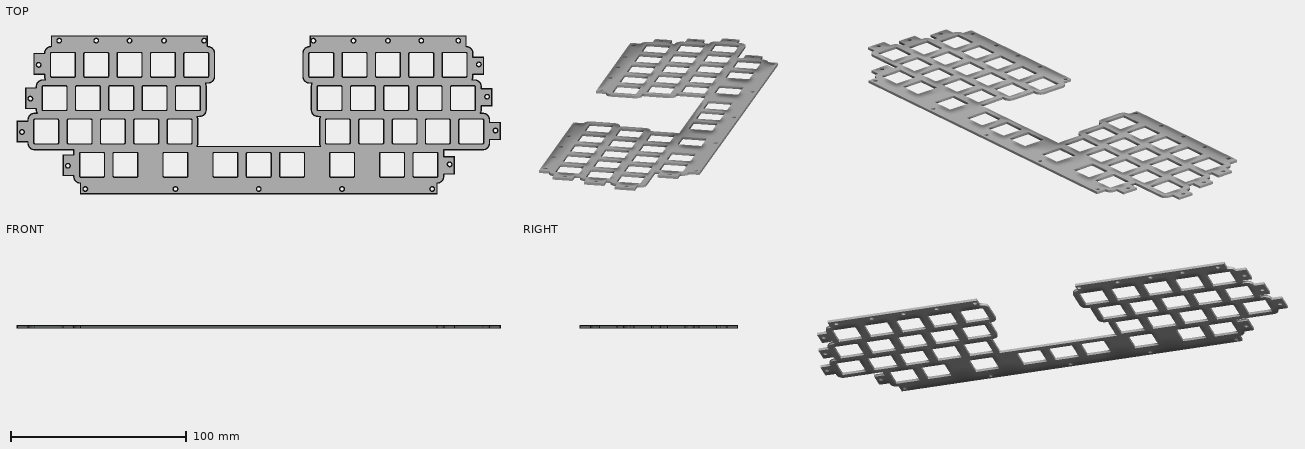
import cadquery as cq

length = 275.8
thickness = 1.5

pitch = 19.0
web_half = 2.5
cutout = pitch - 2 * web_half
cutout_corner = 0.5
finger_columns = 5
stagger = pitch / 4
first_column = 1.875 * pitch
row_y = [1.5 * pitch, 0.5 * pitch, -0.5 * pitch, -1.5 * pitch]
inner_x = [first_column + row * stagger for row in range(3)]
thumb_x = [0, pitch, 2.5 * pitch, 4 * pitch, 5 * pitch]

band_half = 10.5
band_radius = 3.9
band_span = (finger_columns - 1) * pitch
row_end = [x + band_span + band_half for x in inner_x] + [thumb_x[-1] + band_half]

edge_margin = 16.5
half_depth = row_y[0] + edge_margin
strip_outer_inset = band_radius
strip_inner_inset = 4.0

tab_length = length / 2 - max(row_end)
left_tab_height = 11.9
right_tab_height = 10.0
left_tabs = [(0.5, 0.0), (0.0, -0.3), (0.0, -0.3), (-0.3, -0.5)]
right_tabs = [(-0.5, 0.3), (0.5, 0.8), (0.3, 0.5), (-0.3, 0.3)]
tab_hole_inset = 2.8

hole_diameter = 2.5
strip_hole_inset = 2.8
top_hole_x = [31.2, 54.0, inner_x[0] + 2 * pitch, inner_x[0] + 3 * pitch, 114.0]
bottom_hole_x = [0, 2.5 * pitch, 99.0]


def box(x_min, x_max, y_min, y_max):
    return (
        cq.Workplane("XY")
        .center((x_min + x_max) / 2, (y_min + y_max) / 2)
        .rect(x_max - x_min, y_max - y_min)
        .extrude(thickness)
    )


def mirrored(points):
    """The points and their mirror images in X = 0, each place once."""
    return sorted({(side * x, y) for x, y in points for side in (-1, 1)})


def row_band(x_min, x_max, y):
    band = box(x_min, x_max, y - band_half, y + band_half)
    return band.edges("|Z").fillet(band_radius)


def finger_half(side):
    """The three staggered finger rows and the top strip on one side."""
    half = None
    for x, end, y in zip(inner_x, row_end, row_y):
        ends = sorted((side * (x - band_half), side * end))
        band = row_band(*ends, y)
        half = band if half is None else half.union(band)
    strip_inner = inner_x[0] - band_half + strip_inner_inset
    strip_ends = sorted((side * strip_inner, side * (row_end[0] - strip_outer_inset)))
    return half.union(box(*strip_ends, row_y[0], half_depth))


def thumb_row():
    end = row_end[3]
    strip_end = end - strip_outer_inset
    band = row_band(-end, end, row_y[3])
    upper = box(-end, end, row_y[3], row_y[3] + band_half)
    return band.union(upper).union(box(-strip_end, strip_end, -half_depth, row_y[3]))


def tabs(side, height, offsets):
    for end, y, (offset, _) in zip(row_end, row_y, offsets):
        ends = sorted((side * (end - band_radius), side * (end + tab_length)))
        middle = y + offset
        yield box(*ends, middle - height / 2, middle + height / 2)


def tab_holes(side, offsets):
    return [
        (side * (end + tab_length - tab_hole_inset), y + offset)
        for end, y, (_, offset) in zip(row_end, row_y, offsets)
    ]


def key_centres():
    fingers = [
        (x + column * pitch, y)
        for x, y in zip(inner_x, row_y)
        for column in range(finger_columns)
    ]
    thumbs = [(x, row_y[3]) for x in thumb_x]
    return mirrored(fingers + thumbs)


plate = thumb_row().union(finger_half(-1)).union(finger_half(1))
for tab in tabs(-1, left_tab_height, left_tabs):
    plate = plate.union(tab)
for tab in tabs(1, right_tab_height, right_tabs):
    plate = plate.union(tab)

cutouts = (
    cq.Workplane("XY")
    .pushPoints(key_centres())
    .rect(cutout, cutout)
    .extrude(thickness)
    .edges("|Z")
    .fillet(cutout_corner)
)

strip_holes = mirrored(
    [(x, half_depth - strip_hole_inset) for x in top_hole_x]
    + [(x, -half_depth + strip_hole_inset) for x in bottom_hole_x]
)
left_holes = tab_holes(-1, left_tabs)
right_holes = tab_holes(1, right_tabs)
screw_holes = (
    cq.Workplane("XY")
    .pushPoints(strip_holes + left_holes + right_holes)
    .circle(hole_diameter / 2)
    .extrude(thickness)
)

result = plate.cut(cutouts).cut(screw_holes)